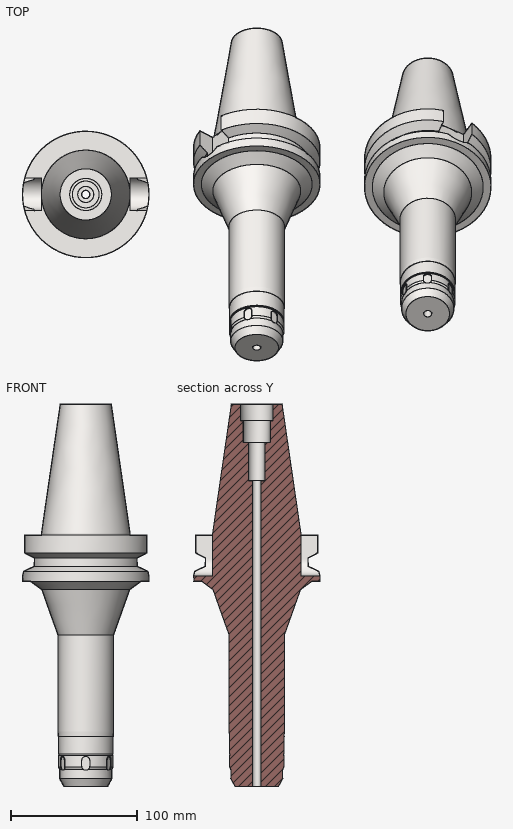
import cadquery as cq

length = 301.8
gauge_z = 200.0
flange_top_z = 198.5
flange_bottom_z = 162.0

taper_tip_radius = 20.2
taper_base_radius = 35.0
flange_diameter = 100.0
flange_radius = flange_diameter / 2
groove_radius = 42.5
groove_top_z = 184.5
groove_floor_top_z = 180.5
groove_floor_bottom_z = 173.8
groove_bottom_z = 170.0

neck_rim_radius = 43.8
neck_radius = 34.7
neck_z = 155.5
shank_top_z = 119.8
shank_radius = 22.0
shank_end_taper = 0.3
shank_end_radius = shank_radius - shank_end_taper
shank_end_taper_z = 43.5
shank_end_z = 39.5

nut_diameter = 43.2
nut_radius = nut_diameter / 2
nut_groove_depth = 0.3
nut_groove_top_z = 25.7
nut_groove_bottom_z = 24.5
nut_step_top_z = 15.5
nut_step_bottom_z = 13.5
nose_diameter = 41.3
nose_radius = nose_diameter / 2
nose_chamfer_z = 6.3
nose_end_radius = 17.2

key_width = 25.7
key_bottom_z = 166.3
key_floor_x = 35.0

notch_count = 6
notch_width = 6.3
notch_bottom_z = 13.0
notch_top_z = 23.8
notch_floor_radius = 20.5

bore_steps = [(12.7, 13.0), (10.5, 30.2), (6.3, 60.5)]
coolant_diameter = 6.3
coolant_radius = coolant_diameter / 2


def turned_body():
    """Revolve the half outline of the holder about the Z axis."""
    nut_groove_radius = nut_radius - nut_groove_depth
    outline = [
        (0, 0),
        (nose_end_radius, 0),
        (nose_radius, nose_chamfer_z),
        (nose_radius, nut_step_bottom_z),
        (nut_radius, nut_step_top_z),
        (nut_radius, nut_groove_bottom_z),
        (nut_groove_radius, nut_groove_bottom_z),
        (nut_groove_radius, nut_groove_top_z),
        (nut_radius, nut_groove_top_z),
        (nut_radius, shank_end_z),
        (shank_end_radius, shank_end_z),
        (shank_radius, shank_end_taper_z),
        (shank_radius, shank_top_z),
        (neck_radius, neck_z),
        (neck_rim_radius, flange_bottom_z),
        (flange_radius, flange_bottom_z),
        (flange_radius, groove_bottom_z),
        (groove_radius, groove_floor_bottom_z),
        (groove_radius, groove_floor_top_z),
        (flange_radius, groove_top_z),
        (flange_radius, flange_top_z),
        (taper_base_radius, flange_top_z),
        (taper_base_radius, gauge_z),
        (taper_tip_radius, length),
        (0, length),
    ]
    return cq.Workplane("XZ").polyline(outline).close().revolve(360, (0, 0), (0, 1))


def keyway():
    """Round-bottomed slot, open at the flange top, on the +X side."""
    half_width = key_width / 2
    arc_z = key_bottom_z + half_width
    return (
        cq.Workplane("YZ", origin=(key_floor_x, 0, 0))
        .moveTo(-half_width, flange_top_z)
        .lineTo(-half_width, arc_z)
        .threePointArc((0, key_bottom_z), (half_width, arc_z))
        .lineTo(half_width, flange_top_z)
        .close()
        .extrude(flange_radius)
    )


def wrench_notch():
    """Upright rounded pocket on the -Y side of the nut."""
    return (
        cq.Workplane("XZ", origin=(0, -notch_floor_radius, 0))
        .center(0, (notch_bottom_z + notch_top_z) / 2)
        .slot2D(notch_top_z - notch_bottom_z, notch_width, 90)
        .extrude(nut_radius)
    )


def bore(radius, depth):
    """Round bore going down from the taper tip."""
    return cq.Workplane("XY", origin=(0, 0, length - depth)).circle(radius).extrude(depth)


result = turned_body()

for angle in (0, 180):
    result = result.cut(keyway().rotate((0, 0, 0), (0, 0, 1), angle))

for index in range(notch_count):
    angle = index * 360 / notch_count
    result = result.cut(wrench_notch().rotate((0, 0, 0), (0, 0, 1), angle))

for step_radius, step_depth in bore_steps:
    result = result.cut(bore(step_radius, step_depth))

result = result.cut(bore(coolant_radius, length))